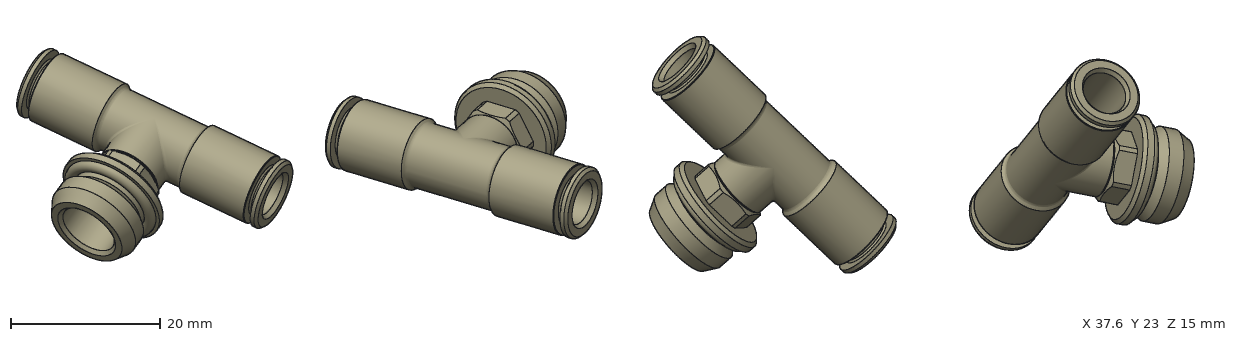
import cadquery as cq
import math

SELECT_MARGIN = 0.01

RUN_HALF_LENGTH = 18.8
SOCKET_DIA = 10.0
RUN_NECK_DIA = 9.0
COLLAR_WIDTH = 1.0
COLLAR_CHAMFER = 0.4
GROOVE_DIA = 6.9
GROOVE_WIDTH = 1.0
GROOVE_CORNER = 0.25
SOCKET_MOUTH_CHAMFER = 0.1
SOCKET_INNER_X = 6.8
SHOULDER_FILLET = 0.5
TEE_FILLET = 0.4

TUBE_ENTRY_DIA = 6.9
TUBE_BORE_DIA = 6.15
TUBE_STOP_X = 7.0
RUN_BORE_DIA = 4.0
TUBE_ENTRY_ANGLE = math.radians(30)
TUBE_ENTRY_DEPTH = (TUBE_ENTRY_DIA - TUBE_BORE_DIA) / 2 / math.tan(TUBE_ENTRY_ANGLE)
BORE_END_ANGLE = math.radians(30)
BORE_END_SLOPE = math.tan(BORE_END_ANGLE)

BRANCH_LENGTH = 18.0
STEM_DIA = 9.0
STEM_END_Y = 6.8
UNDERCUT_DIA = 8.6
HEX_TOP_Y = 7.0
HEX_SIDES = 6
HEX_ACROSS_FLATS = 9.0
HEX_CORNER_DIA = 10.0
HEX_CHAMFER_HEIGHT = 0.4
FLANGE_DIA = 15.0
FLANGE_TOP_Y = 10.0
FLANGE_BOTTOM_Y = 11.5
FLANGE_CHAMFER = 0.5
SEAL_DIA = 14.0
SEAL_BOTTOM_Y = 12.5
THREAD_DIA = 13.0
THREAD_ROOT_DIA = 10.8
THREAD_END_DIA = 11.0
THREAD_TOP_Y = 14.0
THREAD_BOTTOM_Y = 16.1
THREAD_DEPTH = (THREAD_DIA - THREAD_ROOT_DIA) / 2

BRANCH_ENTRY_DIA = 9.0
BRANCH_BORE_DIA = 8.0
BRANCH_BORE_END_Y = 9.0
BRANCH_STEP_DIA = 6.0
BRANCH_STEP_END_Y = 7.0
BRANCH_PASSAGE_DIA = 3.5


def run_solid(half_outline):
    """Revolve about the X axis an (x, radius) outline given for +X and repeated for -X."""
    other_half = [(-x, radius) for x, radius in reversed(half_outline)]
    outline = half_outline + other_half
    return cq.Workplane("XY").polyline(outline).close().revolve(360, (0, 0, 0), (1, 0, 0))


def branch_solid(points):
    """Revolve a closed (radius, distance from the run axis) outline about the Y axis."""
    outline = [(radius, -distance) for radius, distance in points]
    return cq.Workplane("XY").polyline(outline).close().revolve(360, (0, 0, 0), (0, 1, 0))


def run_body():
    """Both sockets with their release collars and the narrower neck between them."""
    outer = SOCKET_DIA / 2
    neck = RUN_NECK_DIA / 2
    groove = GROOVE_DIA / 2
    collar_x = RUN_HALF_LENGTH - COLLAR_WIDTH
    mouth_x = collar_x - GROOVE_WIDTH
    shoulder_root_x = SOCKET_INNER_X - (outer - neck)
    body = run_solid([
        (shoulder_root_x, neck),
        (SOCKET_INNER_X, outer),
        (mouth_x - SOCKET_MOUTH_CHAMFER, outer),
        (mouth_x, outer - SOCKET_MOUTH_CHAMFER),
        (mouth_x, groove + GROOVE_CORNER),
        (mouth_x + GROOVE_CORNER, groove),
        (collar_x - GROOVE_CORNER, groove),
        (collar_x, groove + GROOVE_CORNER),
        (collar_x, outer),
        (RUN_HALF_LENGTH - COLLAR_CHAMFER, outer),
        (RUN_HALF_LENGTH, outer - COLLAR_CHAMFER),
        (RUN_HALF_LENGTH, 0),
    ])
    reach = neck + SELECT_MARGIN
    for side in (1, -1):
        root_box = cq.selectors.BoxSelector(
            (side * shoulder_root_x - SELECT_MARGIN, -reach, -reach),
            (side * shoulder_root_x + SELECT_MARGIN, reach, reach),
            boundingbox=True,
        )
        body = body.edges(root_box).fillet(SHOULDER_FILLET)
    return body


def run_bore():
    """Through passage of the run, widened to a tube bore at each end."""
    entry = TUBE_ENTRY_DIA / 2
    tube = TUBE_BORE_DIA / 2
    passage = RUN_BORE_DIA / 2
    return run_solid([
        (TUBE_STOP_X - (tube - passage) * BORE_END_SLOPE, passage),
        (TUBE_STOP_X, tube),
        (RUN_HALF_LENGTH - TUBE_ENTRY_DEPTH, tube),
        (RUN_HALF_LENGTH, entry),
        (RUN_HALF_LENGTH, 0),
    ])


def branch_stem():
    """Plain stem, undercut where it meets the hexagon."""
    stem = STEM_DIA / 2
    undercut = UNDERCUT_DIA / 2
    return branch_solid([
        (0, 0),
        (stem, 0),
        (stem, STEM_END_Y),
        (undercut, STEM_END_Y),
        (undercut, FLANGE_TOP_Y),
        (0, FLANGE_TOP_Y),
    ])


def branch_hex():
    """Hexagon with corners trimmed round and a conical top."""
    circumscribed_dia = HEX_ACROSS_FLATS / math.cos(math.pi / HEX_SIDES)
    prism = (
        cq.Workplane("XZ", origin=(0, -HEX_TOP_Y, 0))
        .polygon(HEX_SIDES, circumscribed_dia)
        .extrude(FLANGE_TOP_Y - HEX_TOP_Y)
    )
    corner = HEX_CORNER_DIA / 2
    corner_envelope = branch_solid([
        (0, HEX_TOP_Y),
        (UNDERCUT_DIA / 2, HEX_TOP_Y),
        (corner, HEX_TOP_Y + HEX_CHAMFER_HEIGHT),
        (corner, FLANGE_TOP_Y),
        (0, FLANGE_TOP_Y),
    ])
    return prism.intersect(corner_envelope)


def branch_flange():
    """Round flange, chamfered on the side facing the run."""
    rim = FLANGE_DIA / 2
    return branch_solid([
        (0, FLANGE_TOP_Y),
        (rim - FLANGE_CHAMFER, FLANGE_TOP_Y),
        (rim, FLANGE_TOP_Y + FLANGE_CHAMFER),
        (rim, FLANGE_BOTTOM_Y),
        (0, FLANGE_BOTTOM_Y),
    ])


def branch_seal():
    """O-ring seated on the thread root, partly sunk into the flange face."""
    root = THREAD_ROOT_DIA / 2
    section_radius = (SEAL_DIA - THREAD_ROOT_DIA) / 4
    ring_radius = root + section_radius
    centre_y = section_radius - SEAL_BOTTOM_Y
    buried_y = centre_y + section_radius
    return (
        cq.Workplane("XY")
        .moveTo(ring_radius, buried_y)
        .threePointArc((SEAL_DIA / 2, centre_y), (root, centre_y))
        .lineTo(root, buried_y)
        .close()
        .revolve(360, (0, 0, 0), (0, 1, 0))
    )


def branch_thread():
    """Plain thread cylinder with a root neck above it and a tapered tip."""
    root = THREAD_ROOT_DIA / 2
    crest = THREAD_DIA / 2
    return branch_solid([
        (0, FLANGE_BOTTOM_Y),
        (root, FLANGE_BOTTOM_Y),
        (root, THREAD_TOP_Y - THREAD_DEPTH),
        (crest, THREAD_TOP_Y),
        (crest, THREAD_BOTTOM_Y),
        (THREAD_END_DIA / 2, BRANCH_LENGTH),
        (0, BRANCH_LENGTH),
    ])


def branch_bore():
    """Stepped bore from the threaded end into the run passage."""
    entry = BRANCH_ENTRY_DIA / 2
    bore = BRANCH_BORE_DIA / 2
    step = BRANCH_STEP_DIA / 2
    passage = BRANCH_PASSAGE_DIA / 2
    step_y = BRANCH_BORE_END_Y - (bore - step) * BORE_END_SLOPE
    passage_y = BRANCH_STEP_END_Y - (step - passage) * BORE_END_SLOPE
    return branch_solid([
        (0, 0),
        (passage, 0),
        (passage, passage_y),
        (step, BRANCH_STEP_END_Y),
        (step, step_y),
        (bore, BRANCH_BORE_END_Y),
        (bore, BRANCH_LENGTH - (entry - bore)),
        (entry, BRANCH_LENGTH),
        (0, BRANCH_LENGTH),
    ])


def tee_body():
    """Run and stem joined, with the two mitred seams between them rounded."""
    tee = run_body().union(branch_stem())
    for side in (">X", "<X"):
        tee = tee.edges("%ELLIPSE").edges(side).fillet(TEE_FILLET)
    return tee


body = tee_body()
for section in (branch_hex(), branch_flange(), branch_seal(), branch_thread()):
    body = body.union(section)

result = body.cut(run_bore()).cut(branch_bore())